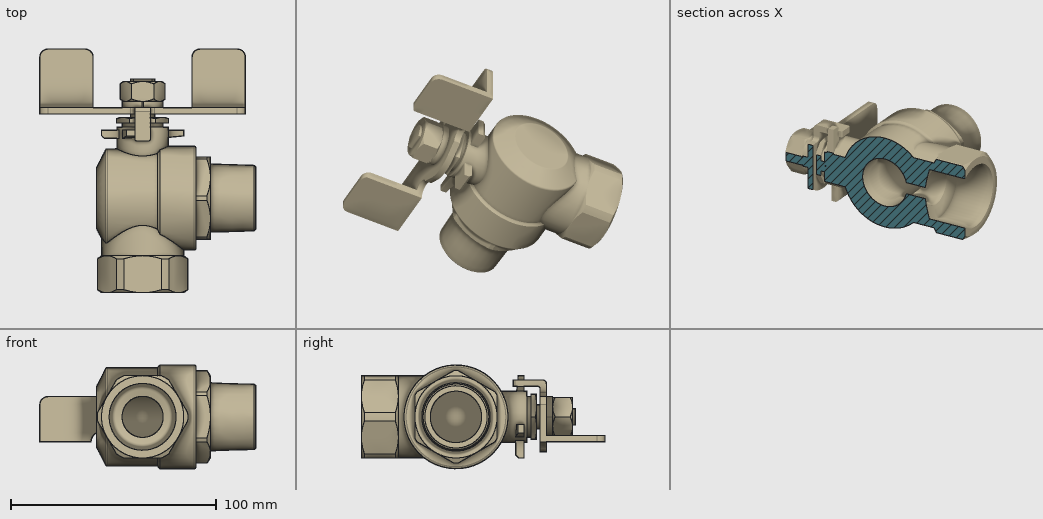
import cadquery as cq
import math


body_left_x = -22.5
body_face_diameter = 29.2
cone_end_x = -17.7
body_diameter = 48.0
step_start_x = 7.2
step_end_x = 8.4
cap_diameter = 50.5
cap_end_x = 26.0
body_edge_radius = 1.0

outlet_hex_flats = 40.0
outlet_hex_corners = 45.0
outlet_hex_end_x = 33.0
outlet_hex_chamfer = 1.7
outlet_end_x = 55.0
thread_root_diameter = 33.25
thread_taper = 1 / 16
thread_tip_chamfer = 0.8

neck_diameter = 40.0
inlet_hex_flats = 40.0
inlet_hex_corners = 44.0
inlet_hex_start_y = -28.0
inlet_face_y = -46.0
inlet_hex_chamfer = 1.5
inlet_bore_diameter = 32.5
inlet_bore_depth = 20.4
inlet_cone_angle = 140.0

port_diameter = 20.0
chamber_diameter = 25.0
chamber_left_x = -12.5

bonnet_diameter = 25.0
bonnet_top_y = 34.5
collar_diameter = 20.0
gland_bottom_y = 36.4
gland_top_y = 39.2
gland_flats = 22.0
gland_chamfer = 0.6
stem_diameter = 12.0
stem_flats = 8.0
stem_top_y = 58.0
washer_diameter = 20.0
washer_split = 0.8
nut_bottom_y = 47.0
nut_top_y = 56.7
nut_flats = 19.0
nut_chamfer = 1.2

tab_reach = 20.0
tab_width = 10.0
tab_top_y = 33.1
tab_bottom_y = 29.0
tab_chamfer = 1.4
stop_tip_offset = 7.9
stop_root_offset = 9.7
stop_root_reach = 7.8
stop_tip_thickness = 2.9
stop_root_thickness = 4.1

handle_length = 100.0
handle_thickness = 3.2
handle_top_y = 44.0
handle_upper_z = 9.9
handle_lower_z = -12.2
handle_corner_radius = 4.0
wing_width = 26.0
wing_tip_y = 72.5
hub_radius = 17.0
hub_flank_angle = 30.0
relief_radius = 5.0
relief_x = 20.0
tongue_width = 7.6
tongue_top_z = 18.0
tongue_tip_y = 27.8
tongue_root_radius = 2.0
tongue_bend_radius = 2.0
tongue_inner_bend_radius = 1.0
tongue_tip_radius = 0.9

handle_bottom_y = handle_top_y - handle_thickness


def turned_x(points):
    """Solid of revolution about X from (x, radius) points, closed along the axis."""
    outline = [(points[0][0], 0)] + points + [(points[-1][0], 0)]
    return cq.Workplane("XY").polyline(outline).close().revolve(360, (0, 0, 0), (1, 0, 0))


def turned_y(points):
    """Solid of revolution about Y from (radius, y) points, closed along the axis."""
    outline = [(0, points[0][1])] + points + [(0, points[-1][1])]
    return cq.Workplane("XY").polyline(outline).close().revolve(360, (0, 0, 0), (0, 1, 0))


def cylinder_y(diameter, start_y, end_y):
    return turned_y([(diameter / 2, start_y), (diameter / 2, end_y)])


def corner_distance(flats):
    return flats / math.cos(math.pi / 6)


def hex_y(flats, start_y, end_y):
    """Hexagonal prism along Y with two of its corners on the X axis."""
    prism = cq.Workplane("XZ", origin=(0, end_y, 0)).polygon(6, corner_distance(flats))
    return prism.extrude(end_y - start_y)


def chamfered_hex_y(flats, corners, start_y, end_y, start_chamfer, end_chamfer):
    """Hexagon along Y trimmed to a corner diameter, with conical chamfers down to the flats."""
    profile = [(corners / 2, start_y + start_chamfer), (corners / 2, end_y - end_chamfer)]
    if start_chamfer:
        profile.insert(0, (flats / 2, start_y))
    if end_chamfer:
        profile.append((flats / 2, end_y))
    envelope = turned_y(profile)
    return hex_y(flats, start_y, end_y).intersect(envelope)


def make_body():
    body = turned_x([
        (body_left_x, body_face_diameter / 2),
        (cone_end_x, body_diameter / 2),
        (step_start_x, body_diameter / 2),
        (step_end_x, cap_diameter / 2),
        (cap_end_x, cap_diameter / 2),
    ])
    rounded_edges = body.edges(cq.selectors.BoxSelector(
        (body_left_x - 1, -cap_diameter, -cap_diameter),
        (cone_end_x + 1, cap_diameter, cap_diameter),
    )).edges("%CIRCLE")
    body = rounded_edges.fillet(body_edge_radius)
    return body.faces(">X").edges().fillet(body_edge_radius)


def make_outlet():
    hexagon = (
        cq.Workplane("YZ", origin=(cap_end_x, 0, 0))
        .transformed(rotate=(0, 0, 90))
        .polygon(6, corner_distance(outlet_hex_flats))
        .extrude(outlet_hex_end_x - cap_end_x)
    )
    envelope = turned_x([
        (cap_end_x, outlet_hex_corners / 2),
        (outlet_hex_end_x - outlet_hex_chamfer, outlet_hex_corners / 2),
        (outlet_hex_end_x, outlet_hex_flats / 2),
    ])
    thread_tip_diameter = thread_root_diameter - (outlet_end_x - outlet_hex_end_x) * thread_taper
    thread = turned_x([
        (cap_end_x, thread_root_diameter / 2),
        (outlet_hex_end_x, thread_root_diameter / 2),
        (outlet_end_x, thread_tip_diameter / 2),
    ])
    thread = thread.faces(">X").edges().chamfer(thread_tip_chamfer)
    return hexagon.intersect(envelope).union(thread)


def make_inlet():
    neck = cylinder_y(neck_diameter, inlet_hex_start_y, 0)
    hexagon = chamfered_hex_y(
        inlet_hex_flats, inlet_hex_corners, inlet_face_y, inlet_hex_start_y,
        inlet_hex_chamfer, inlet_hex_chamfer,
    )
    return neck.union(hexagon)


def make_passage():
    """Elbow passage: a socket, cone and port from the inlet meet a wider chamber along X."""
    socket_end_y = inlet_face_y + inlet_bore_depth
    cone_rise = (inlet_bore_diameter - port_diameter) / 2
    cone_end_y = socket_end_y + cone_rise / math.tan(math.radians(inlet_cone_angle / 2))
    inlet = turned_y([
        (inlet_bore_diameter / 2, inlet_face_y),
        (inlet_bore_diameter / 2, socket_end_y),
        (port_diameter / 2, cone_end_y),
        (port_diameter / 2, 0),
    ])
    outlet = turned_x([
        (chamber_left_x, chamber_diameter / 2),
        (outlet_end_x, chamber_diameter / 2),
    ])
    return inlet.union(outlet)


def make_stem_stack():
    """Bonnet, gland nut, stem, split washer and handle nut."""
    bonnet = cylinder_y(bonnet_diameter, chamber_diameter / 2, bonnet_top_y)
    collar = cylinder_y(collar_diameter, bonnet_top_y, gland_bottom_y)
    gland = chamfered_hex_y(
        gland_flats, corner_distance(gland_flats), gland_bottom_y, gland_top_y, 0, gland_chamfer
    )
    stem = cylinder_y(stem_diameter, bonnet_top_y, stem_top_y)
    flat_cut_height = stem_top_y - nut_bottom_y
    for side in (-1, 1):
        flat_cut = cq.Workplane("XY").box(stem_diameter, flat_cut_height, stem_diameter)
        stem = stem.cut(flat_cut.translate(
            (0, nut_bottom_y + flat_cut_height / 2, side * (stem_flats + stem_diameter) / 2)
        ))
    washer = cylinder_y(washer_diameter, handle_top_y, nut_bottom_y)
    split = cq.Workplane("XY").box(
        washer_split, nut_bottom_y - handle_top_y, washer_diameter / 2, centered=(True, False, False)
    )
    washer = washer.cut(split.translate((0, handle_top_y, stem_diameter / 2)))
    nut = chamfered_hex_y(
        nut_flats, corner_distance(nut_flats), nut_bottom_y, nut_top_y, nut_chamfer, nut_chamfer
    )
    return bonnet.union(collar).union(gland).union(stem).union(washer).union(nut)


def make_plain_tab():
    """Tab pointing to -X with its lower outer edge chamfered."""
    outline = [
        (0, tab_top_y),
        (-tab_reach, tab_top_y),
        (-tab_reach, tab_bottom_y + tab_chamfer),
        (-tab_reach + tab_chamfer, tab_bottom_y),
        (0, tab_bottom_y),
    ]
    return cq.Workplane("XY").polyline(outline).close().extrude(tab_width / 2, both=True)


def make_stop_tab():
    """Tab pointing to +Z beside the tongue, thinner at its tip and with a slanted outer side."""
    plan = [
        (-tongue_width / 2, 0),
        (-tongue_width / 2, tab_reach),
        (-stop_tip_offset, tab_reach),
        (-stop_root_offset, stop_root_reach),
    ]
    profile = [
        (tab_top_y, 0),
        (tab_top_y, tab_reach),
        (tab_top_y - stop_tip_thickness, tab_reach),
        (tab_top_y - stop_root_thickness, stop_root_reach),
        (tab_top_y - stop_root_thickness, 0),
    ]
    column = cq.Workplane("XZ", origin=(0, tab_top_y, 0)).polyline(plan).close().extrude(
        stop_root_thickness
    )
    wedge = cq.Workplane("YZ").polyline(profile).close().extrude(stop_root_offset, both=True)
    return column.intersect(wedge)


def make_tabs():
    left = make_plain_tab()
    lower = left.rotate((0, 0, 0), (0, 1, 0), -90)
    upper_stop = make_stop_tab()
    right_stop = upper_stop.mirror("XY").rotate((0, 0, 0), (0, 1, 0), -90)
    return left.union(lower).union(upper_stop).union(right_stop)


def make_handle_plate():
    """Plate with a round hub below, whose straight flanks run up into a relief on each side."""
    half_length = handle_length / 2
    flank = math.radians(hub_flank_angle)
    flank_x = hub_radius * math.sin(flank)
    flank_z = -hub_radius * math.cos(flank)
    flank_end_z = flank_z + (relief_x - flank_x) * math.tan(flank)
    plate = (
        cq.Workplane("XZ", origin=(0, handle_top_y, 0))
        .moveTo(-half_length, handle_lower_z)
        .lineTo(-relief_x, handle_lower_z)
        .lineTo(-relief_x, flank_end_z)
        .lineTo(-flank_x, flank_z)
        .threePointArc((0, -hub_radius), (flank_x, flank_z))
        .lineTo(relief_x, flank_end_z)
        .lineTo(relief_x, handle_lower_z)
        .lineTo(half_length, handle_lower_z)
        .lineTo(half_length, handle_upper_z)
        .lineTo(-half_length, handle_upper_z)
        .close()
        .extrude(handle_thickness)
    )
    return plate.edges("|Y and >Z").fillet(handle_corner_radius)


def make_reliefs():
    """Cutters centred on the lower edge, trimming the hub flanks and the inner wing edges."""
    return (
        cq.Workplane("XZ", origin=(0, wing_tip_y, 0))
        .pushPoints([(-relief_x, handle_lower_z), (relief_x, handle_lower_z)])
        .circle(relief_radius)
        .extrude(wing_tip_y - handle_bottom_y)
    )


def make_wings():
    wing = cq.Workplane("XY").box(
        wing_width, wing_tip_y - handle_bottom_y, handle_thickness, centered=(True, False, False)
    )
    wing = wing.edges("|Z and >Y").fillet(handle_corner_radius)
    wing_x = (handle_length - wing_width) / 2
    left = wing.translate((-wing_x, handle_bottom_y, handle_lower_z))
    return left.union(wing.translate((wing_x, handle_bottom_y, handle_lower_z)))


def make_tongue():
    """Bent tongue that rises from the plate and reaches over the bonnet, flared at its root."""
    under_z = tongue_top_z - handle_thickness
    outline = [
        (handle_top_y, 0),
        (handle_top_y, tongue_top_z),
        (tongue_tip_y, tongue_top_z),
        (tongue_tip_y, under_z),
        (handle_bottom_y, under_z),
        (handle_bottom_y, 0),
    ]
    tongue = cq.Workplane("YZ").polyline(outline).close().extrude(tongue_width / 2, both=True)
    tongue = tongue.edges("|X and >Y and >Z").fillet(tongue_bend_radius)
    inner_bend = cq.selectors.NearestToPointSelector((0, handle_bottom_y, under_z))
    tongue = tongue.edges(inner_bend).fillet(tongue_inner_bend_radius)
    tongue = tongue.edges("|Z and <Y").fillet(tongue_tip_radius)

    half_width = tongue_width / 2
    flare_width = half_width + tongue_root_radius
    flare_top_z = handle_upper_z + tongue_root_radius
    arc_offset = tongue_root_radius * (1 - math.sqrt(0.5))
    arc_x = half_width + arc_offset
    arc_z = handle_upper_z + arc_offset
    flare = (
        cq.Workplane("XZ", origin=(0, handle_top_y, 0))
        .moveTo(-flare_width, handle_upper_z)
        .threePointArc((-arc_x, arc_z), (-half_width, flare_top_z))
        .lineTo(half_width, flare_top_z)
        .threePointArc((arc_x, arc_z), (flare_width, handle_upper_z))
        .close()
        .extrude(handle_thickness)
    )
    return tongue.union(flare)


def make_handle():
    blank = make_handle_plate().union(make_wings()).cut(make_reliefs())
    return blank.union(make_tongue())


valve = make_body().union(make_outlet()).union(make_inlet()).union(make_stem_stack())
valve = valve.union(make_tabs()).cut(make_passage())
result = valve.union(make_handle())